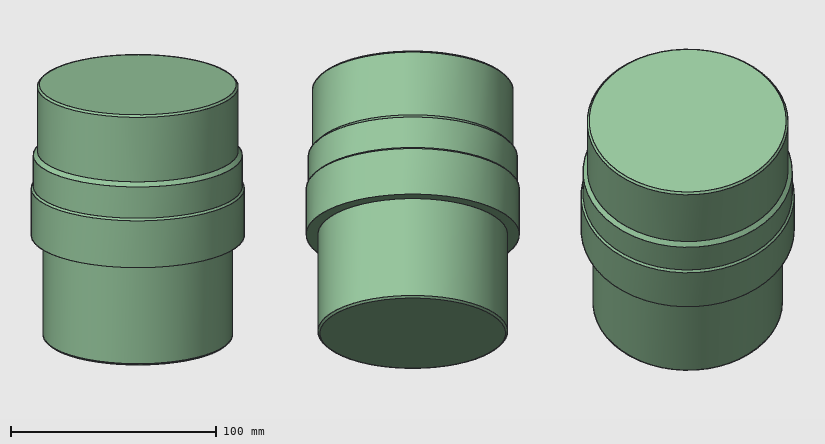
import cadquery as cq

total_height = 129.0
cup_diameter = 92.5
collar_diameter = 104.0
skirt_diameter = 102.0
cap_diameter = 98.0

collar_bottom = 52.0
collar_height = 25.0
skirt_height = 18.0
edge_chamfer = 1.0

collar_top = collar_bottom + collar_height
skirt_top = collar_top + skirt_height
collar_chamfer = (collar_diameter - skirt_diameter) / 2
skirt_chamfer = (skirt_diameter - cap_diameter) / 2


def cylinder(diameter, bottom, top):
    """Upright cylinder on the Z axis between two levels."""
    return cq.Workplane("XY").workplane(offset=bottom).circle(diameter / 2).extrude(top - bottom)


def make_cup():
    """Plain cup that passes up through the collar to the underside of the lid."""
    return cylinder(cup_diameter, 0, collar_top).faces("<Z").chamfer(edge_chamfer)


def make_collar():
    """Ring around the cup, bevelled at its upper outer edge."""
    ring = cylinder(collar_diameter, collar_bottom, collar_top).faces(">Z").chamfer(collar_chamfer)
    return ring.cut(cylinder(cup_diameter, collar_bottom, collar_top))


def make_lid():
    """Lid resting on the collar: a wide bevelled skirt below a narrower cap."""
    skirt = cylinder(skirt_diameter, collar_top, skirt_top).faces(">Z").chamfer(skirt_chamfer)
    cap = cylinder(cap_diameter, collar_top, total_height).faces(">Z").chamfer(edge_chamfer)
    return skirt.union(cap)


cup = make_cup()
collar = make_collar()
lid = make_lid()

result = cq.Compound.makeCompound([cup.val(), collar.val(), lid.val()])